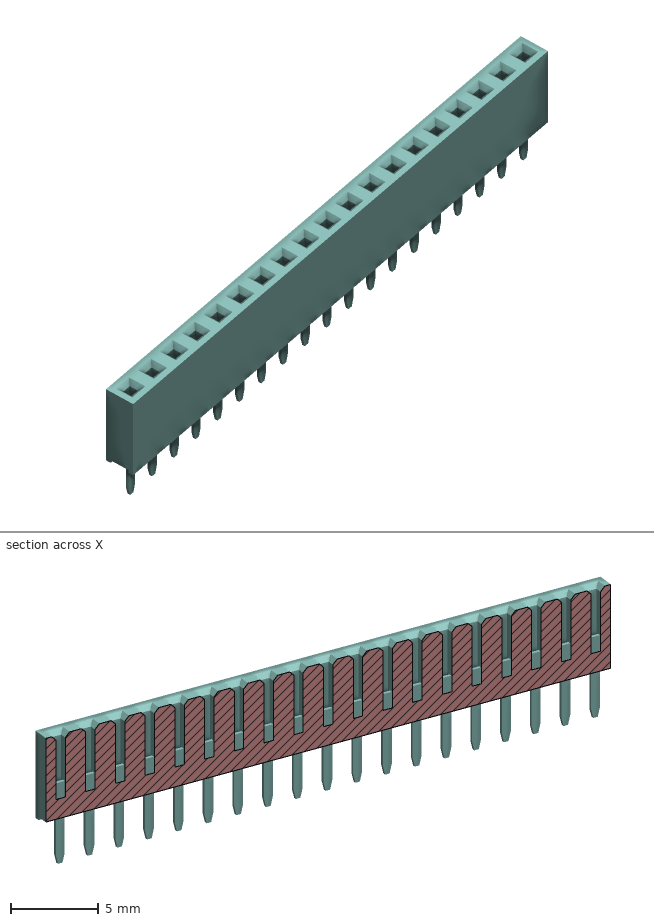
import cadquery as cq

position_count = 19
pitch = 2.0

housing_width = 2.0
housing_length = position_count * pitch
housing_height = 5.6

channel_depth = 0.2
rail_width = 0.34
channel_width = housing_width - 2 * rail_width

mouth_size = 1.2
well_size = 0.6
lead_in_depth = (mouth_size - well_size) / 2
well_floor_height = 1.5

pin_width = 0.6
pin_thickness = 0.2
pin_tip_width = 0.3
pin_tip_length = 0.6
pin_length_below = 2.7
blade_height_in_well = 1.0

pin_positions = [
    (0, (index - (position_count - 1) / 2) * pitch)
    for index in range(position_count)
]


def make_housing():
    """Plain rectangular bar."""
    return cq.Workplane("XY").box(
        housing_width, housing_length, housing_height, centered=(True, True, False)
    )


def make_channel():
    """Rectangular groove running the full length of the underside."""
    return cq.Workplane("XY").box(
        channel_width, housing_length, channel_depth, centered=(True, True, False)
    )


def make_socket():
    """Pyramidal lead-in joined to the square well, centred on the Z axis."""
    lead_in = (
        cq.Workplane("XY", origin=(0, 0, housing_height))
        .rect(mouth_size, mouth_size)
        .workplane(offset=-lead_in_depth)
        .rect(well_size, well_size)
        .loft(ruled=True)
    )
    well_depth = housing_height - lead_in_depth - well_floor_height
    well = (
        cq.Workplane("XY", origin=(0, 0, well_floor_height))
        .rect(well_size, well_size)
        .extrude(well_depth)
    )
    return lead_in.union(well)


def make_pin():
    """Flat blade from inside the well down to a tapered tip."""
    blade_top = well_floor_height + blade_height_in_well
    tip_start = pin_tip_length - pin_length_below
    return (
        cq.Workplane("YZ")
        .polyline([
            (-pin_width / 2, blade_top),
            (-pin_width / 2, tip_start),
            (-pin_tip_width / 2, -pin_length_below),
            (pin_tip_width / 2, -pin_length_below),
            (pin_width / 2, tip_start),
            (pin_width / 2, blade_top),
        ])
        .close()
        .extrude(pin_thickness / 2, both=True)
    )


def at_every_position(feature):
    """One copy of the feature at each contact position."""
    solid = feature.val()
    return cq.Workplane("XY").pushPoints(pin_positions).eachpoint(
        lambda location: solid.moved(location)
    )


housing = make_housing().cut(make_channel()).cut(at_every_position(make_socket()))
result = housing.union(at_every_position(make_pin()))